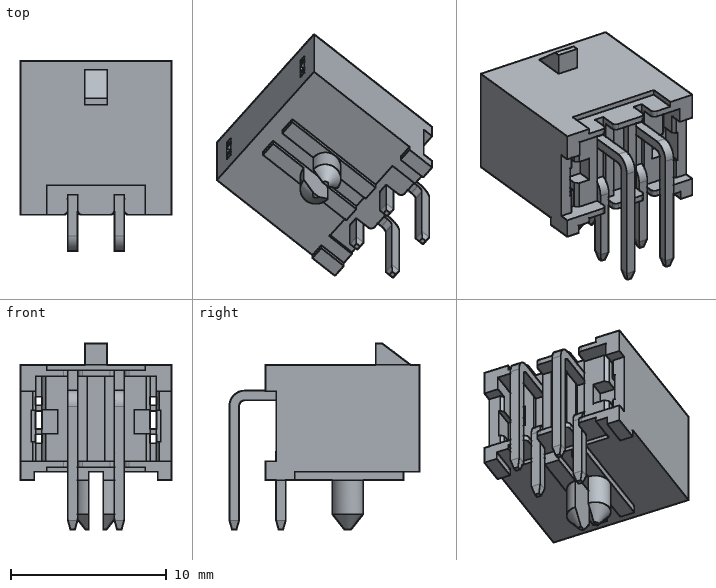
import cadquery as cq


OVERALL_LENGTH = 12.22
WIDTH = 9.7
DEPTH = 9.9
TOP_Z = 7.4
BODY_BOTTOM_Z = 0.54
HALF_WIDTH = WIDTH / 2

LATCH_WIDTH = 1.43
LATCH_HEIGHT = 1.38
LATCH_FRONT_Y = 7.08
LATCH_CREST_Y = 7.48
LATCH_BACK_Y = 9.31

RELIEF_WIDTH = 6.29
RELIEF_DEPTH = 1.9
TOP_RELIEF = 0.34
BOTTOM_RELIEF = 0.29

FOOT_WIDTH = 0.89
SPLIT_WIDTH = 0.93
PEG_RADIUS = 1.0
PEG_Y = 5.28
PEG_TIP_RADIUS = 0.21
PEG_CONE_Z = -2.18
RAIL_BACK_Y = 8.87

POCKET_HALF_WIDTH = 3.87
POCKET_BOTTOM_Z = 1.22
POCKET_TOP_Z = 6.67
CORE_HALF_WIDTH = 3.47
CORE_FRONT_Y = 1.03
CORE_CHAMFER = 0.23
GAP_BACK_Y = 2.45
SILL_FRONT_Y = 1.31
CHANNEL_WIDTH = 1.12
CHANNEL_BACK_Y = 1.54

SIDE_NOTCH_DEPTH = 0.68
SIDE_NOTCH_TOP_Z = 5.71
BEVEL_X = 0.2
BEVEL_Y = 0.23
CLIP_BACK_Y = 2.05
CORE_CLIP_INNER_X = 2.45
CORE_CLIP_Z = (2.97, 4.53)
WALL_CLIP_OUTER_X = 4.17
WALL_CLIP_Z = (2.48, 4.5)
WINDOW_Z_RANGES = ((2.38, 2.93), (3.3, 4.44), (4.81, 5.35))

PITCH = 3.0
PIN = 0.64
PIN_TIP = 0.29
PIN_BOTTOM_Z = -3.18
PIN_TAPER = 0.61
BEND_RADIUS = 1.0
OUTER_LEG_Y = DEPTH - OVERALL_LENGTH + PIN / 2
UPPER_PIN_Z = 5.44
PIN_ROOT_Y = 2.45
SLOT_BACK_Y = OUTER_LEG_Y + PITCH + PIN / 2
SLOT_MOUTH_RADIUS = 0.29


def box(x0, x1, y0, y1, z0, z1):
    """Box between two opposite corners."""
    return cq.Workplane("XY").box(x1 - x0, y1 - y0, z1 - z0, centered=False).translate((x0, y0, z0))


def prism(points, z0, z1):
    """Vertical prism over an XY outline."""
    return cq.Workplane("XY").workplane(offset=z0).polyline(points).close().extrude(z1 - z0)


def both_sides(shape):
    """A shape together with its mirror image across the middle plane."""
    return shape.union(shape.mirror("YZ"))


def latch():
    return (
        cq.Workplane("YZ")
        .moveTo(LATCH_FRONT_Y, TOP_Z)
        .lineTo(LATCH_FRONT_Y, TOP_Z + LATCH_HEIGHT)
        .lineTo(LATCH_CREST_Y, TOP_Z + LATCH_HEIGHT)
        .lineTo(LATCH_BACK_Y, TOP_Z)
        .close()
        .extrude(LATCH_WIDTH / 2, both=True)
    )


def peg_half():
    """Half-round peg with a conical end, flat along the split."""
    axis_x = SPLIT_WIDTH / 2
    return (
        cq.Workplane("XZ", origin=(axis_x, PEG_Y, 0))
        .moveTo(0, BODY_BOTTOM_Z)
        .lineTo(PEG_RADIUS, BODY_BOTTOM_Z)
        .lineTo(PEG_RADIUS, PEG_CONE_Z)
        .lineTo(PEG_TIP_RADIUS, PIN_BOTTOM_Z)
        .lineTo(0, PIN_BOTTOM_Z)
        .close()
        .revolve(180, (0, 0, 0), (0, 1, 0))
        .rotate((axis_x, PEG_Y, 0), (axis_x, PEG_Y, 1), -90)
    )


def underside():
    """Corner feet, inner rails and the two peg halves."""
    foot = box(HALF_WIDTH - FOOT_WIDTH, HALF_WIDTH, 0, RELIEF_DEPTH, 0, BODY_BOTTOM_Z)
    rail_inner_x = SPLIT_WIDTH / 2
    rail = box(rail_inner_x, rail_inner_x + PEG_RADIUS, RELIEF_DEPTH, RAIL_BACK_Y, 0, BODY_BOTTOM_Z)
    return both_sides(foot.union(rail).union(peg_half()))


def reliefs():
    half = RELIEF_WIDTH / 2
    top = box(-half, half, 0, RELIEF_DEPTH, TOP_Z - TOP_RELIEF, TOP_Z)
    bottom = box(-half, half, 0, RELIEF_DEPTH, BODY_BOTTOM_Z, BODY_BOTTOM_Z + BOTTOM_RELIEF)
    return top.union(bottom)


def pocket():
    """Space in front of the core and down both of its sides, above a sill, with the core's middle channel."""
    pocket_z = (POCKET_BOTTOM_Z, POCKET_TOP_Z)
    space = box(-POCKET_HALF_WIDTH, POCKET_HALF_WIDTH, 0, CORE_FRONT_Y, *pocket_z)
    gap = prism(
        [
            (CORE_HALF_WIDTH - CORE_CHAMFER, CORE_FRONT_Y),
            (POCKET_HALF_WIDTH, CORE_FRONT_Y),
            (POCKET_HALF_WIDTH, GAP_BACK_Y),
            (CORE_HALF_WIDTH, GAP_BACK_Y),
            (CORE_HALF_WIDTH, CORE_FRONT_Y + CORE_CHAMFER),
        ],
        *pocket_z,
    )
    sill_top_z = WINDOW_Z_RANGES[0][0]
    sill = box(CORE_HALF_WIDTH, POCKET_HALF_WIDTH, SILL_FRONT_Y, GAP_BACK_Y, POCKET_BOTTOM_Z, sill_top_z)
    gap = gap.cut(sill)
    channel = box(-CHANNEL_WIDTH / 2, CHANNEL_WIDTH / 2, 0, CHANNEL_BACK_Y, *pocket_z)
    return space.union(both_sides(gap)).union(channel)


def side_cuts():
    """End notch, lead-in bevel, clip recesses and through windows of both side walls."""
    notch_z = (POCKET_BOTTOM_Z, SIDE_NOTCH_TOP_Z)
    cuts = box(POCKET_HALF_WIDTH, HALF_WIDTH, 0, SIDE_NOTCH_DEPTH, *notch_z)
    bevel = prism(
        [
            (POCKET_HALF_WIDTH, SIDE_NOTCH_DEPTH),
            (POCKET_HALF_WIDTH + BEVEL_X, SIDE_NOTCH_DEPTH),
            (POCKET_HALF_WIDTH, SIDE_NOTCH_DEPTH + BEVEL_Y),
        ],
        *notch_z,
    )
    core_clip = box(CORE_CLIP_INNER_X, CORE_HALF_WIDTH, CORE_FRONT_Y, CLIP_BACK_Y, *CORE_CLIP_Z)
    wall_clip = box(POCKET_HALF_WIDTH, WALL_CLIP_OUTER_X, SIDE_NOTCH_DEPTH, CLIP_BACK_Y, *WALL_CLIP_Z)
    cuts = cuts.union(bevel).union(core_clip).union(wall_clip)
    for window_z in WINDOW_Z_RANGES:
        cuts = cuts.union(box(CORE_HALF_WIDTH, POCKET_HALF_WIDTH, GAP_BACK_Y, DEPTH, *window_z))
    return both_sides(cuts)


def pin_slot(x):
    """Full-height slot for one pin column, with a rounded mouth."""
    half = PIN / 2
    mouth = half + SLOT_MOUTH_RADIUS
    return (
        cq.Workplane("XY", origin=(x, 0, 0))
        .moveTo(-half, SLOT_BACK_Y)
        .lineTo(-half, SLOT_MOUTH_RADIUS)
        .radiusArc((-mouth, 0), SLOT_MOUTH_RADIUS)
        .lineTo(mouth, 0)
        .radiusArc((half, SLOT_MOUTH_RADIUS), SLOT_MOUTH_RADIUS)
        .lineTo(half, SLOT_BACK_Y)
        .close()
        .extrude(TOP_Z)
    )


def pin(x, leg_y, arm_z):
    """Square pin: arm out of the core, bend, and a leg down to a tapered tip."""
    front_y = leg_y - PIN / 2
    back_y = leg_y + PIN / 2
    top_z = arm_z + PIN / 2
    under_z = arm_z - PIN / 2
    taper_z = PIN_BOTTOM_Z + PIN_TAPER
    inner_radius = BEND_RADIUS - PIN
    bend_y = front_y + BEND_RADIUS
    bend_z = top_z - BEND_RADIUS
    bar = (
        cq.Workplane("YZ", origin=(x, 0, 0))
        .moveTo(front_y, taper_z)
        .lineTo(front_y, bend_z)
        .radiusArc((bend_y, top_z), BEND_RADIUS)
        .lineTo(PIN_ROOT_Y, top_z)
        .lineTo(PIN_ROOT_Y, under_z)
        .lineTo(bend_y, under_z)
        .radiusArc((back_y, bend_z), -inner_radius)
        .lineTo(back_y, taper_z)
        .close()
        .extrude(PIN / 2, both=True)
    )
    tip = (
        cq.Workplane("XY", origin=(x, leg_y, taper_z))
        .rect(PIN, PIN)
        .workplane(offset=-PIN_TAPER)
        .rect(PIN_TIP, PIN_TIP)
        .loft()
    )
    return bar.union(tip)


result = box(-HALF_WIDTH, HALF_WIDTH, 0, DEPTH, BODY_BOTTOM_Z, TOP_Z)
result = result.union(latch()).union(underside())
result = result.cut(reliefs()).cut(pocket()).cut(side_cuts())

pin_columns = (-PITCH / 2, PITCH / 2)
for column_x in pin_columns:
    result = result.cut(pin_slot(column_x))
for column_x in pin_columns:
    result = result.union(pin(column_x, OUTER_LEG_Y, UPPER_PIN_Z))
    result = result.union(pin(column_x, OUTER_LEG_Y + PITCH, UPPER_PIN_Z - PITCH))